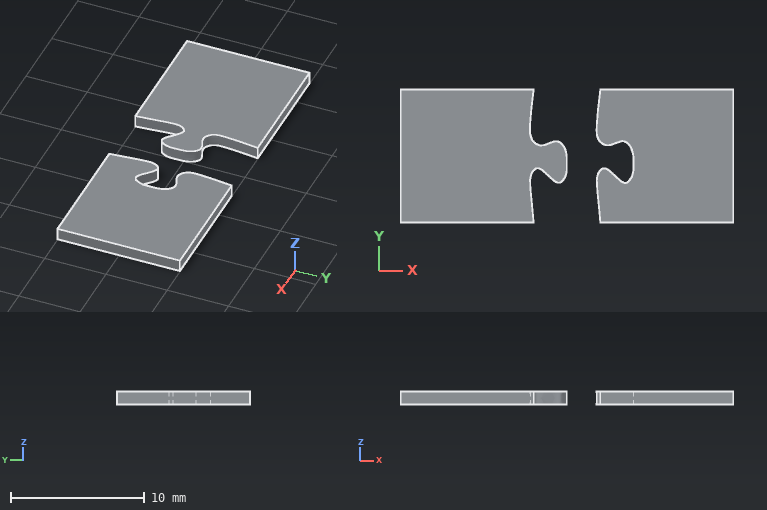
import cadquery as cq

PLATE_SIZE = 10.0
THICKNESS = 1.0
TOTAL_LENGTH = 25.0

TAB_EDGE_X = PLATE_SIZE
SOCKET_EDGE_X = TOTAL_LENGTH - PLATE_SIZE

LOWER_CORNER = (0.0, 0.0)
LOWER_SHOULDER = [(-0.15, 1.5), (-0.25, 2.75)]
LOWER_NECK = [(-0.18, 3.65), (0.15, 4.05), (1.1, 3.52)]
HEAD = [(2.0, 3.0), (2.38, 3.45), (2.5, 4.5), (2.28, 5.7), (1.8, 6.1)]
UPPER_NECK = [(1.12, 5.95), (0.48, 5.8), (-0.1, 6.18)]
UPPER_SHOULDER = [(-0.28, 7.25), (-0.18, 8.5)]
UPPER_CORNER = (0.0, PLATE_SIZE)

LOCKING_CURVE = [
    LOWER_CORNER,
    *LOWER_SHOULDER,
    *LOWER_NECK,
    *HEAD,
    *UPPER_NECK,
    *UPPER_SHOULDER,
    UPPER_CORNER,
]


def make_plate(locking_edge_x, straight_edge_x):
    """Puzzle plate between a straight outer edge and the shared locking curve."""
    curve = [(locking_edge_x + offset, y) for offset, y in LOCKING_CURVE]
    return (
        cq.Workplane("XY")
        .moveTo(straight_edge_x, 0)
        .lineTo(locking_edge_x, 0)
        .spline(curve[1:], includeCurrent=True)
        .lineTo(straight_edge_x, PLATE_SIZE)
        .close()
        .extrude(THICKNESS)
    )


tab_plate = make_plate(TAB_EDGE_X, 0)
socket_plate = make_plate(SOCKET_EDGE_X, TOTAL_LENGTH)

result = cq.Compound.makeCompound([tab_plate.val(), socket_plate.val()])